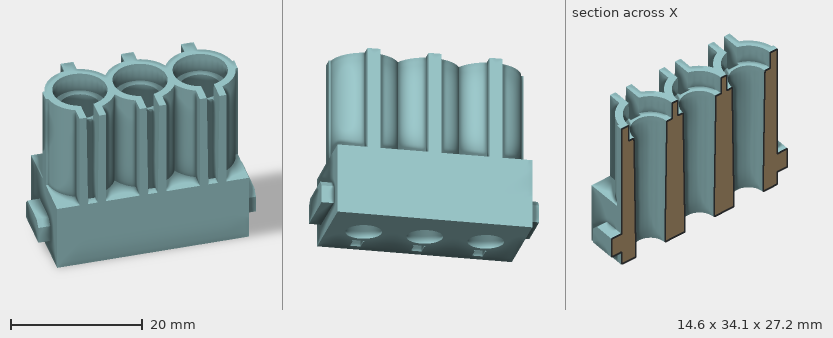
import cadquery as cq
import math

BLOCK_X = 14.6
BLOCK_Y = 30.3
BLOCK_EDGE_Z = 11.0
TOTAL_Z = 27.2
DRAFT_DEG = 0.85
DRAFT = math.tan(math.radians(DRAFT_DEG))
BLOCK_RIDGE_Z = BLOCK_EDGE_Z + BLOCK_X / 2 * DRAFT

TOWER_COUNT = 3
TOWER_PITCH = 9.5
TOWER_RADIUS = 5.4
TOWER_Y = [(i - (TOWER_COUNT - 1) / 2) * TOWER_PITCH for i in range(TOWER_COUNT)]

COUNTERBORE_RADIUS = 4.2
COUNTERBORE_DEPTH = 3.1
COUNTERBORE_DRAFT_DEG = 0.5
LEDGE_Z = TOTAL_Z - COUNTERBORE_DEPTH
BORE_RADIUS = 3.15

RIB_WIDTH = 2.0
SLOT_WIDTH = 2.0
SLOT_CHEEK_WIDTH = 4.2
SLOT_START_X = 3.58
NOTCH_WIDTH = 1.9
NOTCH_END_X = 4.05
SLOT_FLOOR_Z = BLOCK_EDGE_Z
WINDOW_WIDTH = 1.65
WINDOW_END_X = 5.97

LUG_LENGTH = 1.9
LUG_BOTTOM_Z = 2.45
LUG_TOP_Z = 6.2
FRONT_LUG_WIDTH = 7.0
REAR_LUG_WIDTH = 9.1
LUG_CHAMFER = 1.0


def box(x_min, x_max, y_min, y_max, z_min, z_max):
    """Box given by its limits along each axis."""
    size = (x_max - x_min, y_max - y_min, z_max - z_min)
    return cq.Workplane("XY").box(*size, centered=False).translate((x_min, y_min, z_min))


def base_block():
    """Block whose top rises slightly towards its lengthwise centre line."""
    half_x = BLOCK_X / 2
    profile = [
        (-half_x, 0),
        (half_x, 0),
        (half_x, BLOCK_EDGE_Z),
        (0, BLOCK_RIDGE_Z),
        (-half_x, BLOCK_EDGE_Z),
    ]
    return cq.Workplane("XZ").polyline(profile).close().extrude(BLOCK_Y / 2, both=True)


def tower(y):
    """Solid round tower with one rib towards -X and a wide rib towards +X."""
    post = cq.Workplane("XY").center(0, y).circle(TOWER_RADIUS).extrude(TOTAL_Z)
    left_rib = box(-BLOCK_X / 2, 0, y - RIB_WIDTH / 2, y + RIB_WIDTH / 2, 0, TOTAL_Z)
    half_cheek = SLOT_CHEEK_WIDTH / 2
    right_rib = box(0, BLOCK_X / 2, y - half_cheek, y + half_cheek, 0, TOTAL_Z)
    return post.union(left_rib).union(right_rib)


def end_rib():
    """Pair of end ribs: one bar along the row, as long as the block."""
    return box(-RIB_WIDTH / 2, RIB_WIDTH / 2, -BLOCK_Y / 2, BLOCK_Y / 2, 0, TOTAL_Z)


def bore(y):
    """Counterbore and through hole, both narrowing downwards."""
    top = cq.Workplane("XY", origin=(0, y, TOTAL_Z))
    counterbore = top.circle(COUNTERBORE_RADIUS).extrude(-COUNTERBORE_DEPTH, taper=COUNTERBORE_DRAFT_DEG)
    ledge = cq.Workplane("XY", origin=(0, y, LEDGE_Z))
    hole = ledge.circle(BORE_RADIUS).extrude(-LEDGE_Z, taper=DRAFT_DEG)
    return counterbore.union(hole)


def slot(y):
    """Drafted side slot, open towards +X, with a window and a notch down to the bottom."""
    half_top = SLOT_WIDTH / 2
    half_floor = half_top - (TOTAL_Z - SLOT_FLOOR_Z) * DRAFT
    profile = [
        (y - half_top, TOTAL_Z),
        (y + half_top, TOTAL_Z),
        (y + half_floor, SLOT_FLOOR_Z),
        (y - half_floor, SLOT_FLOOR_Z),
    ]
    start = cq.Workplane("YZ", origin=(SLOT_START_X, 0, 0))
    channel = start.polyline(profile).close().extrude(BLOCK_X / 2 - SLOT_START_X)
    half_window = WINDOW_WIDTH / 2
    window = box(SLOT_START_X, WINDOW_END_X, y - half_window, y + half_window, 0, TOTAL_Z)
    half_notch = NOTCH_WIDTH / 2
    notch = box(SLOT_START_X, NOTCH_END_X, y - half_notch, y + half_notch, 0, LEDGE_Z)
    return channel.union(window).union(notch)


def lug(width, side):
    """Lug on the end face at side * Y, its two upper edges chamfered."""
    inner_y = side * BLOCK_Y / 2
    outer_y = inner_y + side * LUG_LENGTH
    y_min, y_max = sorted((inner_y, outer_y))
    blank = box(-width / 2, width / 2, y_min, y_max, LUG_BOTTOM_Z, LUG_TOP_Z)
    return blank.faces(">Z").edges("|Y").chamfer(LUG_CHAMFER)


result = base_block().union(end_rib())
for tower_y in TOWER_Y:
    result = result.union(tower(tower_y))
for tower_y in TOWER_Y:
    result = result.cut(bore(tower_y)).cut(slot(tower_y))
result = result.union(lug(FRONT_LUG_WIDTH, -1)).union(lug(REAR_LUG_WIDTH, 1))